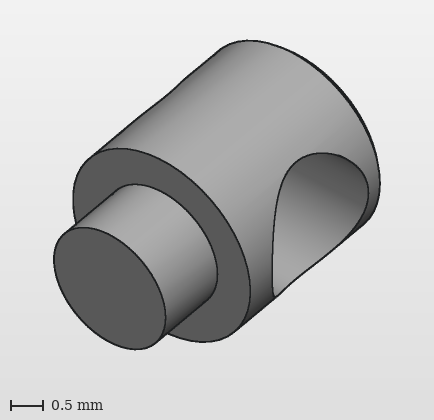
import cadquery as cq

total_length = 4.57
body_diameter = 3.43
body_length = 3.3
pin_diameter = 2.16
pin_length = total_length - body_length
chamfer_size = 0.125
cross_hole_diameter = 2.36
cross_hole_from_back = 1.585


def cylinder_along_y(diameter, start_y, length):
    """Solid cylinder on the Y axis, growing toward +Y from start_y."""
    start_plane = cq.Plane(origin=(0, start_y, 0), xDir=(1, 0, 0), normal=(0, 1, 0))
    return cq.Workplane(start_plane).circle(diameter / 2).extrude(length)


pin = cylinder_along_y(pin_diameter, 0, pin_length)
body = cylinder_along_y(body_diameter, pin_length, body_length)
body = body.faces(">Y").edges().chamfer(chamfer_size)

cross_hole = (
    cq.Workplane("YZ", origin=(-body_diameter / 2, 0, 0))
    .center(total_length - cross_hole_from_back, 0)
    .circle(cross_hole_diameter / 2)
    .extrude(body_diameter)
)

result = body.union(pin).cut(cross_hole)